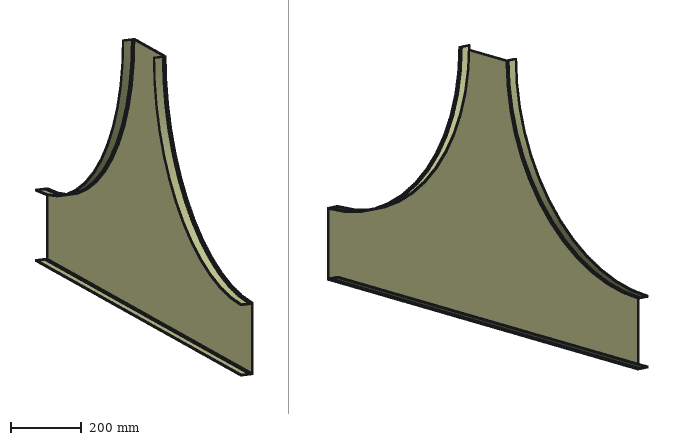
import cadquery as cq

length = 1370.0
height = 789.0
depth = 35.0
branch_width = 208.0
sheet = 1.8
rim_depth = 7.5

half_length = length / 2
half_branch = branch_width / 2
corner_radius = half_length - half_branch
lip_depth = depth - rim_depth
diagonal = 0.5 ** 0.5


def arc_point(side, radius):
    """Middle of a quarter arc of the given radius about one upper corner."""
    return (side * (half_length - radius * diagonal), height - radius * diagonal)


def straight_strip(front, strip_depth):
    """Flat strip along the bottom edge, reaching back from Y = front."""
    strip = cq.Workplane("XY").box(length, strip_depth, sheet, centered=(True, False, False))
    return strip.translate((0, front, 0))


def curved_strip(side, front, strip_depth):
    """Quarter-round strip along one concave edge (side is -1 or 1), reaching back from Y = front."""
    inner_radius = corner_radius
    outer_radius = corner_radius + sheet
    outline = (
        cq.Workplane("XZ", origin=(0, front + strip_depth, 0))
        .moveTo(side * half_length, height - inner_radius)
        .threePointArc(arc_point(side, inner_radius), (side * (half_length - inner_radius), height))
        .lineTo(side * (half_length - outer_radius), height)
        .threePointArc(arc_point(side, outer_radius), (side * half_length, height - outer_radius))
        .close()
    )
    return outline.extrude(strip_depth)


def make_plate():
    """T-shaped back plate with two concave corners and a shallow rim on its three long edges."""
    plate = (
        cq.Workplane("XZ", origin=(0, depth, 0))
        .moveTo(-half_length, 0)
        .lineTo(half_length, 0)
        .lineTo(half_length, height - corner_radius)
        .threePointArc(arc_point(1, corner_radius), (half_branch, height))
        .lineTo(-half_branch, height)
        .threePointArc(arc_point(-1, corner_radius), (-half_length, height - corner_radius))
        .close()
        .extrude(sheet)
    )
    plate = plate.union(straight_strip(lip_depth, rim_depth))
    for side in (-1, 1):
        plate = plate.union(curved_strip(side, lip_depth, rim_depth))
    return plate


def make_straight_lip():
    """Lip that carries the bottom rim forward."""
    return straight_strip(0, lip_depth)


def make_curved_lip(side):
    """Lip that carries one concave rim forward (side is -1 or 1)."""
    return curved_strip(side, 0, lip_depth)


plate = make_plate()
straight_lip = make_straight_lip()
curved_lips = [make_curved_lip(side) for side in (-1, 1)]

result = cq.Compound.makeCompound(
    [plate.val(), straight_lip.val(), *[lip.val() for lip in curved_lips]]
)